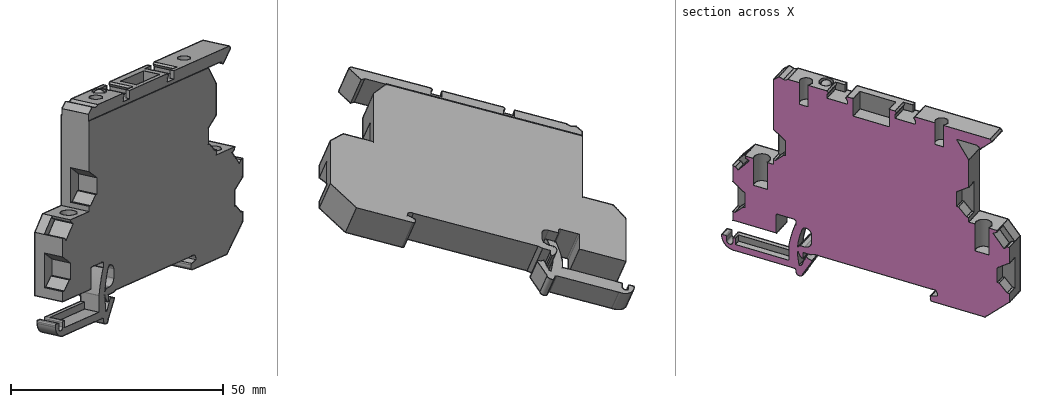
import cadquery as cq


width = 8.0
length = 76.5
height = 55.4
wall = 2.75

housing_front = 3.0
housing_rear = length
housing_mid = (housing_front + housing_rear) / 2
base_z = 10.25
rail_z = 7.35
foot_z = 3.9
foot_front = 55.4
foot_rear = 70.0
foot_round = 0.5
shelf_z = 29.7
shelf_depth = 10.8
chamfer_depth = 3.2
chamfer_height = 3.75
tower_front = housing_front + shelf_depth
tower_rear = housing_rear - shelf_depth
tower_top = 52.1
tower_slope_depth = 3.2
tower_slope_height = 4.75

relief_front = 14.6
relief_rear = 19.7
relief_top = 15.7
slot_rear = 23.9
slot_top = 14.15
hook_rear = 21.7

lever_top = 5.4
lever_bottom = 1.75
arm_front = 17.8
heel_front = 19.7
finger_notch_front = 1.45
finger_notch_width = 1.5
tip_round = 0.3
lever_web = 1.15
lever_lip = 0.8
lever_floor = 3.7

entry_lip = 0.6
entry_slope = 2.15
entry_depth = 3.2
entry_back_top = 6.2
entry_mouth_height = 8.6
entry_inset_z = 1.3
lower_entry_z = 12.8
shelf_hole_x = 4.6
shelf_hole_setback = 3.45
shelf_hole_diameter = 4.0
shelf_hole_depth = 7.65

cover_inset = 0.2
cover_top = 55.1
cover_rear = 71.8
cover_nose_z = 53.7
nose_length = 1.5
dip_depth = 0.42
grip_slot_floor = 53.0
grip_slot_rears = (51.4, 33.35)
grip_slot_rear_half = 2.75
grip_slot_front_half = 2.5
grip_slot_cheek = 1.3
bead = 0.4
bead_crest = 0.45
bead_height = 1.15
cover_hole_x = 4.3
cover_hole_ys = (57.8, 21.9)
cover_hole_diameter = 3.1
cover_hole_depth = 6.1
window_x = 4.35
window_y = 39.8
window_width = 4.6
window_length = 9.5
window_depth = 5.0

lamp_x = 2.2
lamp_y = 26.2
lamp_radius = 1.45
lamp_recess_radius = 1.7
lamp_z = height - lamp_radius


def side_profile(points, x_start, x_end):
    """Prism of a closed Y-Z polygon between two X positions."""
    return cq.Workplane("YZ", origin=(x_start, 0, 0)).polyline(points).close().extrude(x_end - x_start)


def blind_hole(x, y, top_z, radius, depth):
    """Cylinder that reaches down from a top face."""
    return cq.Workplane("XY", origin=(x, y, top_z)).circle(radius).extrude(-depth)


def mirror_to_rear(solid):
    return solid.mirror("XZ", (0, housing_mid, 0))


def make_housing():
    outline = (
        cq.Workplane("YZ")
        .moveTo(tower_front, tower_top)
        .lineTo(tower_front, shelf_z)
        .lineTo(housing_front + chamfer_depth, shelf_z)
        .lineTo(housing_front, shelf_z - chamfer_height)
        .lineTo(housing_front, base_z)
        .lineTo(relief_front, base_z)
        .lineTo(relief_front, relief_top - 0.3)
        .threePointArc((relief_front + 0.1, relief_top - 0.1), (relief_front + 0.3, relief_top))
        .lineTo(relief_rear - 0.6, relief_top)
        .threePointArc((relief_rear - 0.15, relief_top - 0.15), (relief_rear, relief_top - 0.6))
        .lineTo(relief_rear, slot_top)
        .lineTo(slot_rear - 1.6, slot_top)
        .threePointArc((slot_rear - 0.5, slot_top - 0.4), (slot_rear, slot_top - 1.4))
        .lineTo(slot_rear, 10.5)
        .threePointArc((23.3, 9.3), (22.2, 8.8))
        .lineTo(20.95, 8.8)
        .threePointArc((20.5, 8.5), (20.2, 7.9))
        .threePointArc((20.4, 6.5), (21.35, 5.3))
        .lineTo(hook_rear, 5.35)
        .lineTo(hook_rear, rail_z - 0.4)
        .lineTo(hook_rear + 2.0, rail_z - 0.4)
        .lineTo(hook_rear + 3.1, rail_z)
        .lineTo(foot_front + 0.45, rail_z)
        .threePointArc((foot_front + 1.6, rail_z - 0.2), (foot_front + 1.9, rail_z - 0.85))
        .lineTo(foot_front + 1.9, rail_z - 1.3)
        .lineTo(foot_front + 0.3, rail_z - 1.8)
        .threePointArc((foot_front + 0.1, rail_z - 1.9), (foot_front, rail_z - 2.15))
        .lineTo(foot_front, foot_z + foot_round)
        .threePointArc((foot_front + 0.15, foot_z + 0.15), (foot_front + foot_round, foot_z))
        .lineTo(foot_rear, foot_z)
        .lineTo(housing_rear, base_z)
        .lineTo(housing_rear, shelf_z - chamfer_height)
        .lineTo(housing_rear - chamfer_depth, shelf_z)
        .lineTo(tower_rear, shelf_z)
        .lineTo(tower_rear, tower_top - tower_slope_height)
        .lineTo(tower_rear - tower_slope_depth, tower_top)
        .close()
    )
    return outline.extrude(width)


def make_lever():
    notch_front = finger_notch_front
    notch_rear = notch_front + finger_notch_width
    notch_radius = finger_notch_width / 2
    notch_mid = notch_front + notch_radius
    notch_z = lever_top - 1.4
    outline = (
        cq.Workplane("YZ", origin=(wall, 0, 0))
        .moveTo(19.5, slot_top + 0.1)
        .lineTo(22.2, slot_top)
        .threePointArc((21.7, 13.85), (21.4, 13.3))
        .threePointArc((20.5, 9.95), (20.2, 6.6))
        .lineTo(20.65, 3.1)
        .lineTo(21.1, 3.1)
        .lineTo(22.5, 6.3)
        .threePointArc((23.0, 5.8), (24.1, 5.6))
        .lineTo(24.1, 5.2)
        .lineTo(21.65, 0.9)
        .threePointArc((20.7, 0.0), (heel_front, 1.0))
        .lineTo(heel_front, lever_bottom - 0.45)
        .threePointArc((heel_front - 0.15, lever_bottom - 0.15), (heel_front - 0.45, lever_bottom))
        .lineTo(3.8, lever_bottom)
        .threePointArc((1.0, 2.7), (0.0, 4.75))
        .lineTo(0.0, lever_top - tip_round)
        .radiusArc((tip_round, lever_top), tip_round)
        .lineTo(notch_front - tip_round, lever_top)
        .radiusArc((notch_front, lever_top - tip_round), tip_round)
        .lineTo(notch_front, notch_z)
        .threePointArc((notch_mid, notch_z - notch_radius), (notch_rear, notch_z))
        .lineTo(notch_rear, lever_top - tip_round)
        .radiusArc((notch_rear + tip_round, lever_top), tip_round)
        .lineTo(arm_front, lever_top)
        .lineTo(arm_front, 7.8)
        .threePointArc((18.6, 11.3), (19.5, slot_top + 0.1))
        .close()
    )
    relief_start = notch_rear + lever_lip
    relief = cq.Workplane("XY").box(
        width - wall - lever_web, arm_front - relief_start, lever_top - lever_floor, centered=False
    )
    relief = relief.translate((wall + lever_web, relief_start, lever_floor))
    return outline.extrude(width - wall).cut(relief)


def wire_entry(face_y, lip_z):
    """Funnel pocket in a front-facing wall, open toward +X."""
    profile = [
        (face_y, lip_z),
        (face_y + entry_lip, lip_z),
        (face_y + entry_lip + entry_slope, lip_z + entry_slope),
        (face_y + entry_depth, lip_z + entry_slope),
        (face_y + entry_depth, lip_z + entry_back_top),
        (face_y, lip_z + entry_mouth_height),
    ]
    return side_profile(profile, wall, width)


def marker_groove():
    """Groove along the front shelf chamfer, with flared lips above and below."""
    lower_y = housing_front
    lower_z = shelf_z - chamfer_height
    upper_y = housing_front + chamfer_depth
    profile = [
        (lower_y, lower_z),
        (lower_y + 0.8, lower_z - 0.15),
        (lower_y + 1.45, lower_z - 0.85),
        (upper_y + 1.1, shelf_z - 1.2),
        (upper_y + 0.2, shelf_z - 0.7),
        (upper_y, shelf_z),
    ]
    return side_profile(profile, wall, width)


def terminal_cuts():
    """Everything cut into the front terminal; the rear one is its mirror image."""
    hole_y = tower_front - shelf_hole_setback
    return (
        wire_entry(tower_front, shelf_z + entry_inset_z)
        .union(wire_entry(housing_front, lower_entry_z))
        .union(marker_groove())
        .union(blind_hole(shelf_hole_x, hole_y, shelf_z, shelf_hole_diameter / 2, shelf_hole_depth))
    )


def make_cover():
    crest_y = tower_front + nose_length
    outline = (
        cq.Workplane("YZ", origin=(cover_inset, 0, 0))
        .moveTo(tower_front, tower_top)
        .lineTo(tower_front, cover_nose_z)
        .lineTo(crest_y, cover_top)
        .lineTo(crest_y + 1.2, cover_top - dip_depth)
        .threePointArc((crest_y + 1.8, cover_top - 0.3), (crest_y + 2.4, cover_top))
        .lineTo(cover_rear - 0.45, cover_top)
        .lineTo(cover_rear, cover_top - 0.7)
        .lineTo(cover_rear - 3.05, tower_top - 0.8)
        .lineTo(cover_rear - 4.0, tower_top)
        .close()
    )
    return outline.extrude(width - 2 * cover_inset)


def grip_slot_half(inner_y, end_y, bead_offset, x_start, x_end):
    """Half of a grip slot; the end wall carries a bead just below the cover top."""
    profile = [
        (inner_y, grip_slot_floor),
        (end_y, grip_slot_floor),
        (end_y, cover_top - bead_height),
        (end_y + bead_offset, cover_top - bead_crest),
        (end_y, cover_top),
        (inner_y, cover_top),
    ]
    return side_profile(profile, x_start, x_end)


def grip_slot(rear_y):
    """Z-shaped slot made of two halves staggered in X."""
    mid_y = rear_y - grip_slot_rear_half
    front_y = mid_y - grip_slot_front_half
    rear_half = grip_slot_half(mid_y, rear_y, -bead, 0, width - grip_slot_cheek)
    front_half = grip_slot_half(mid_y, front_y, bead, grip_slot_cheek, width)
    return rear_half.union(front_half)


def cover_window():
    box = cq.Workplane("XY").box(window_width, window_length, window_depth)
    return box.translate((window_x, window_y, cover_top - window_depth / 2))


result = make_housing().union(make_lever()).union(make_cover())

front_terminal = terminal_cuts()
result = result.cut(front_terminal).cut(mirror_to_rear(front_terminal))

for slot_rear_y in grip_slot_rears:
    result = result.cut(grip_slot(slot_rear_y))
for cover_hole_y in cover_hole_ys:
    result = result.cut(
        blind_hole(cover_hole_x, cover_hole_y, cover_top, cover_hole_diameter / 2, cover_hole_depth)
    )
result = result.cut(cover_window())

result = result.cut(blind_hole(lamp_x, lamp_y, cover_top, lamp_recess_radius, cover_top - lamp_z))
result = result.union(cq.Workplane("XY", origin=(lamp_x, lamp_y, lamp_z)).sphere(lamp_radius))